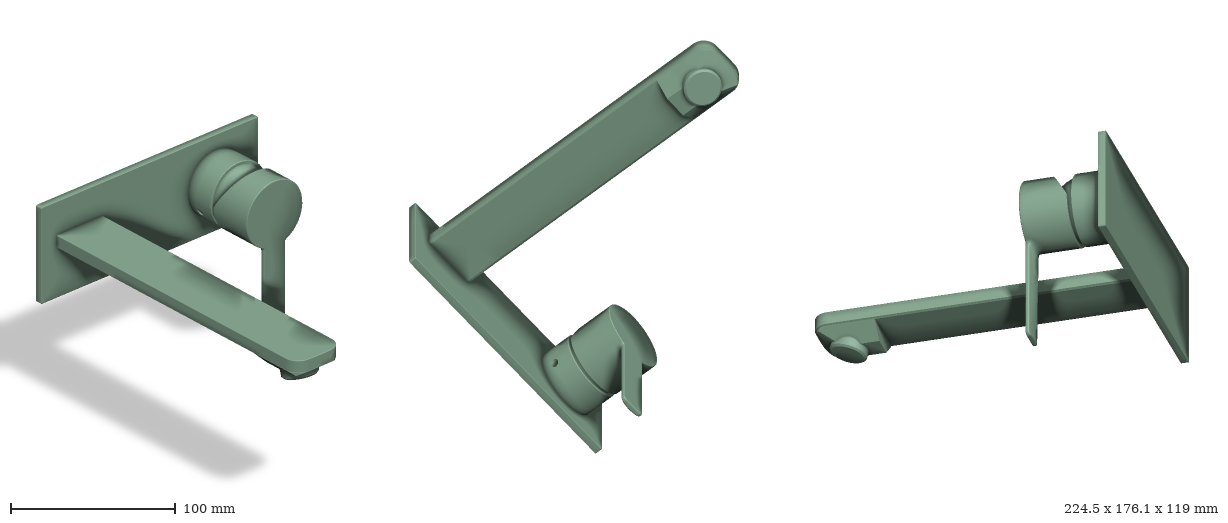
import cadquery as cq
import math


overall_height = 118.98

plate_thickness = 5.0
plate_length = 176.08
plate_height = 66.5
plate_end_to_control = 34.4
plate_corner_radius = 1.0
plate_edge_fillet = 0.5

body_diameter = 45.0
body_base_diameter = 46.2
body_end = 25.8
body_edge_chamfer = 0.4
ball_radius = 20.7
ball_center = 22.2
grub_screw_hole_diameter = 5.0
grub_screw_hole_x = 13.2
grub_screw_hole_z = -9.8
grub_screw_hole_floor = 18.0

head_diameter = 45.5
head_start = 28.2
head_end = 58.6
head_bevel_angle = 60.0
head_edge_fillet = 0.5

lever_width = 17.6
lever_edge_thickness = 2.3
lever_root_thickness = 6.0
lever_tip_thickness = 3.7
lever_tip_z = plate_height / 2 - overall_height
lever_corner_radius = 3.0
lever_tip_rounding = 1.0
lever_root_radius = 3.5

spout_tip = 224.53
spout_width = 37.6
spout_axis_y = -110.4
spout_top = 10.0
spout_thickness = 9.0
spout_corner_radius = 10.0
spout_end_bulge = 1.0
spout_top_fillet = 0.5
spout_bottom_inset = 0.8
spout_bottom_rise = 1.6
spout_underside = spout_top - spout_thickness

housing_start = 184.4
housing_bottom = -9.0
housing_slope_angle = 31.0
housing_bottom_width = 15.0
aerator_diameter = 23.6
aerator_tilt = 17.0
aerator_center_x = 206.7
aerator_bottom_z = -11.0
aerator_height = 10.0
aerator_chamfer = 1.2


def rod(diameter, start, end):
    """Cylinder along the control axis."""
    return cq.Workplane("YZ").workplane(offset=start).circle(diameter / 2).extrude(end - start)


def make_plate():
    center_y = plate_end_to_control - plate_length / 2
    plate = cq.Workplane("YZ").center(center_y, 0).rect(plate_length, plate_height).extrude(plate_thickness)
    plate = plate.edges("|X").fillet(plate_corner_radius)
    return plate.faces(">X").edges().fillet(plate_edge_fillet)


def make_body():
    """Sleeve with a spherical cap, turned about the control axis."""
    base_radius = body_base_diameter / 2
    radius = body_diameter / 2
    cap_start_radius = math.sqrt(ball_radius**2 - (body_end - ball_center) ** 2)
    cap_middle = ball_radius * math.cos(math.pi / 4)
    body = (
        cq.Workplane("XY")
        .lineTo(0, base_radius)
        .lineTo(plate_thickness, base_radius)
        .lineTo(plate_thickness, radius)
        .lineTo(body_end - body_edge_chamfer, radius)
        .lineTo(body_end, radius - body_edge_chamfer)
        .lineTo(body_end, cap_start_radius)
        .threePointArc((ball_center + cap_middle, cap_middle), (ball_center + ball_radius, 0))
        .close()
        .revolve(360, (0, 0, 0), (1, 0, 0))
    )
    hole = (
        cq.Workplane("XZ", origin=(0, -grub_screw_hole_floor, 0))
        .center(grub_screw_hole_x, grub_screw_hole_z)
        .circle(grub_screw_hole_diameter / 2)
        .extrude(radius)
    )
    return body.cut(hole)


def make_head():
    head = rod(head_diameter, head_start, head_end).faces(">X").edges().fillet(head_edge_fillet)
    bevel_height = head_diameter / 2
    bevel_run = bevel_height / math.tan(math.radians(head_bevel_angle))
    bevel = (
        cq.Workplane("XZ")
        .moveTo(head_start, 0)
        .lineTo(head_start + bevel_run, bevel_height)
        .lineTo(head_start, bevel_height)
        .close()
        .extrude(head_diameter / 2, both=True)
    )
    return head.cut(bevel)


def lever_section(blade, thickness):
    """Flat front, short straight sides and an arched back."""
    half = lever_width / 2
    side_x = head_end - lever_edge_thickness
    return (
        blade.moveTo(head_end, -half)
        .lineTo(side_x, -half)
        .threePointArc((head_end - thickness, 0), (side_x, half))
        .lineTo(head_end, half)
        .close()
    )


def make_lever():
    blade = lever_section(cq.Workplane("XY"), lever_root_thickness)
    blade = blade.workplane(offset=lever_tip_z)
    blade = lever_section(blade, lever_tip_thickness).loft(ruled=True)
    outline = (
        cq.Workplane("YZ")
        .rect(lever_width, -2 * lever_tip_z)
        .extrude(head_end)
        .edges("|X and <Z")
        .fillet(lever_corner_radius)
    )
    return blade.intersect(outline).faces("<Z").edges().fillet(lever_tip_rounding)


def make_handle():
    """Head and blade, joined by a rounded root behind the blade."""
    handle = make_head().union(make_lever())
    root_corner = (head_end - lever_root_thickness, 0, -head_diameter / 2)
    return handle.edges(cq.selectors.NearestToPointSelector(root_corner)).fillet(lever_root_radius)


def spout_block(bottom, height, inset=0):
    """Straight block with the spout's outline, drawn in by the inset at the sides and the tip."""
    half = spout_width / 2 - inset
    tip = spout_tip - inset
    shoulder = tip - spout_end_bulge
    return (
        cq.Workplane("XY", origin=(0, spout_axis_y, bottom))
        .moveTo(plate_thickness, -half)
        .lineTo(shoulder, -half)
        .threePointArc((tip, 0), (shoulder, half))
        .lineTo(plate_thickness, half)
        .close()
        .extrude(height)
        .edges("|Z and (not <X)")
        .fillet(spout_corner_radius - inset)
    )


def make_spout():
    spout = spout_block(spout_underside, spout_thickness)
    spout = spout.faces(">Z").edges("not <X").fillet(spout_top_fillet)
    return spout.faces("<Z").edges("not <X").chamfer(spout_bottom_inset, spout_bottom_rise)


def make_housing():
    """Block with sides sloping in toward the bottom, rising to the spout tip."""
    slope_end = spout_tip - spout_bottom_inset
    slope_run = (spout_underside - housing_bottom) / math.tan(math.radians(housing_slope_angle))
    side_profile = (
        cq.Workplane("XZ", origin=(0, spout_axis_y, 0))
        .moveTo(housing_start, spout_underside)
        .lineTo(housing_start, housing_bottom)
        .lineTo(slope_end - slope_run, housing_bottom)
        .lineTo(slope_end, spout_underside)
        .close()
        .extrude(spout_width / 2, both=True)
    )
    half_top = spout_width / 2 - spout_bottom_inset
    half_bottom = housing_bottom_width / 2
    cross_section = (
        cq.Workplane("YZ", origin=(housing_start, spout_axis_y, 0))
        .moveTo(-half_top, spout_underside)
        .lineTo(-half_bottom, housing_bottom)
        .lineTo(half_bottom, housing_bottom)
        .lineTo(half_top, spout_underside)
        .close()
        .extrude(spout_tip - housing_start)
    )
    footprint = spout_block(housing_bottom, spout_underside - housing_bottom, spout_bottom_inset)
    return cross_section.intersect(side_profile).intersect(footprint)


def make_aerator():
    """Round outlet tilted toward the spout tip, with a chamfered rim."""
    tilt = math.radians(aerator_tilt)
    outlet = cq.Plane(
        origin=(aerator_center_x, spout_axis_y, aerator_bottom_z),
        xDir=(0, 1, 0),
        normal=(math.sin(tilt), 0, -math.cos(tilt)),
    )
    aerator = cq.Workplane(outlet).circle(aerator_diameter / 2).extrude(-aerator_height)
    return aerator.edges("<Z").chamfer(aerator_chamfer)


result = make_plate()
for piece in (make_body(), make_handle(), make_spout(), make_housing(), make_aerator()):
    result = result.union(piece, clean=False)
result = result.solids()